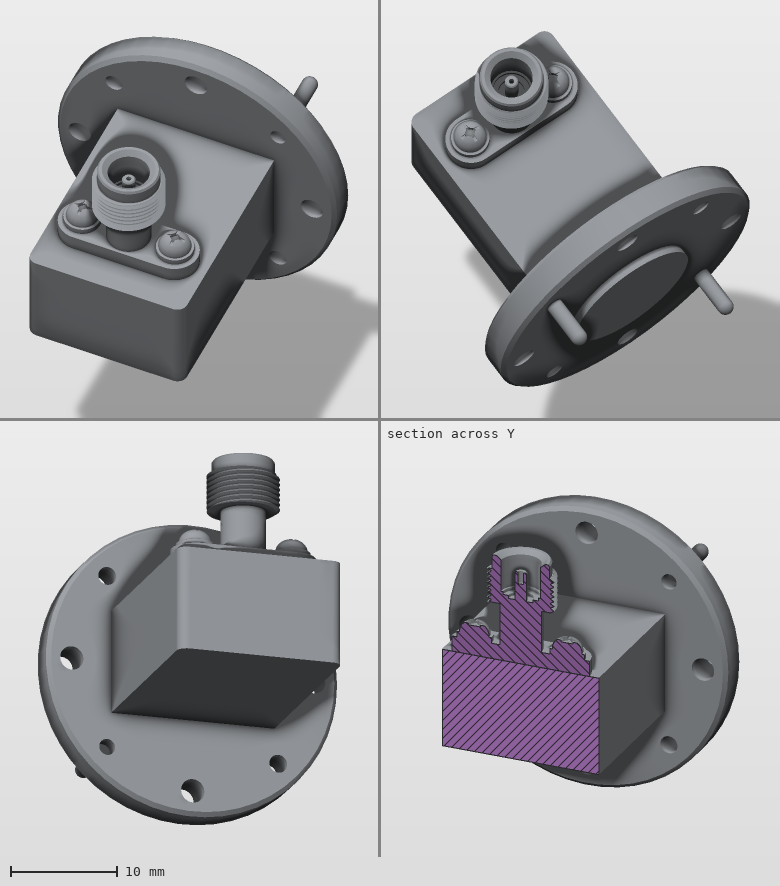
import cadquery as cq
import math


flange_diameter = 28.6
flange_radius = flange_diameter / 2
flange_thickness = 3.33
flange_chamfer = 0.4
boss_radius = 6.35
boss_height = 0.8

bolt_circle_radius = 11.88
bolt_hole_radius = 1.15
bolt_hole_angles = (0, 90, 180, 270)
clearance_hole_radius = 0.87
clearance_hole_angles = (135, 315)

pin_radius = 0.78
pin_angles = (45, 225)
pin_reach = 4.75
pin_insertion = flange_thickness / 2

block_width = 16.02
block_length = 20.95
block_height = 10.0
block_corner_radius = 1.0
block_top = block_height / 2

connector_end_distance = 5.55
connector_y = connector_end_distance - block_length
plate_length = 14.1
plate_width = 4.8
plate_thickness = 1.55
plate_flat_length = 9.03

stem_radius = 2.13
stem_height = 4.2
thread_length = 3.5
collar_radius = 2.97
collar_height = 1.45
collar_chamfer_width = 0.15
collar_chamfer_height = 0.2
plate_top = block_top + plate_thickness
thread_bottom = plate_top + stem_height
collar_bottom = thread_bottom + thread_length
connector_top = collar_bottom + collar_height

thread_turns = 7.1
thread_pitch = thread_length / thread_turns
thread_crest_radius = 3.45
thread_depth = 0.4
thread_root_radius = thread_crest_radius - thread_depth
thread_run_out = thread_pitch
ridge_embedding = 0.03
ridge_base_width = 0.97 * thread_pitch

socket_mouth_radius = 2.52
socket_radius = 1.98
socket_taper_depth = 0.42
socket_depth = 3.6
insulator_recess_radius = 1.77
insulator_recess_depth = 3.9
insulator_bore_radius = 1.23
insulator_bore_depth = 4.2
contact_radius = 0.63
contact_chamfer = 0.12
contact_bore_radius = 0.25
contact_bore_depth = 1.2
contact_recess = 1.3

screw_offset = 4.75
washer_radius = 1.8
washer_height = 0.57
head_radius = 1.53
head_rim_height = 0.15
head_dome_height = 1.23
slot_width = 0.3
slot_length = 2 * head_radius
slot_depth = 0.3
cross_half_diagonal = 0.6
cross_depth = 0.48


def cylinder_z(radius, bottom, top, x=0):
    """Upright cylinder whose axis lies in the plane Y = connector_y."""
    base = cq.Workplane("XY", origin=(x, connector_y, bottom))
    return base.circle(radius).extrude(top - bottom)


def cylinder_y(radius, start, end, x=0, z=0):
    """Cylinder along Y that runs from Y = start to Y = end."""
    base = cq.Workplane("XZ", origin=(x, start, z))
    return base.circle(radius).extrude(start - end)


def on_bolt_circle(angle):
    """X and Z of a point on the bolt circle."""
    radians = math.radians(angle)
    return bolt_circle_radius * math.cos(radians), bolt_circle_radius * math.sin(radians)


def make_housing():
    flange = cylinder_y(flange_radius, 0, flange_thickness)
    flange = flange.faces("<Y or >Y").chamfer(flange_chamfer)
    boss = cylinder_y(boss_radius, flange_thickness, flange_thickness + boss_height)
    block = (
        cq.Workplane("XY", origin=(0, -block_length / 2, 0))
        .box(block_width, block_length, block_height)
        .edges("|Z and <Y")
        .fillet(block_corner_radius)
    )
    housing = flange.union(boss).union(block)
    hole_groups = (
        (bolt_hole_radius, bolt_hole_angles),
        (clearance_hole_radius, clearance_hole_angles),
        (pin_radius, pin_angles),
    )
    for radius, angles in hole_groups:
        for angle in angles:
            x, z = on_bolt_circle(angle)
            housing = housing.cut(cylinder_y(radius, 0, flange_thickness, x, z))
    return housing


def make_pin(angle):
    """Round-ended dowel pin pressed part of the way into its flange hole."""
    x, z = on_bolt_circle(angle)
    start = flange_thickness - pin_insertion
    straight_end = flange_thickness + pin_reach - pin_radius
    outline = (
        cq.Workplane("XY", origin=(x, 0, z))
        .moveTo(0, start)
        .lineTo(pin_radius, start)
        .lineTo(pin_radius, straight_end)
        .radiusArc((0, straight_end + pin_radius), -pin_radius)
        .close()
    )
    return outline.revolve(360, (0, 0, 0), (0, 1, 0))


def make_plate():
    """Flat-sided mounting plate with round ends."""
    flat_x = plate_flat_length / 2
    side_y = plate_width / 2
    end_x = plate_length / 2
    return (
        cq.Workplane("XY", origin=(0, connector_y, block_top))
        .moveTo(-flat_x, -side_y)
        .lineTo(flat_x, -side_y)
        .threePointArc((end_x, 0), (flat_x, side_y))
        .lineTo(-flat_x, side_y)
        .threePointArc((-end_x, 0), (-flat_x, -side_y))
        .close()
        .extrude(plate_thickness)
    )


def make_thread():
    """Root cylinder with a right-handed V ridge, trimmed flat at both ends."""
    base_radius = thread_root_radius - ridge_embedding
    helix_height = thread_length + 2 * thread_run_out
    helix = cq.Wire.makeHelix(thread_pitch, helix_height, base_radius)
    ridge = (
        cq.Workplane("XZ")
        .moveTo(base_radius, -ridge_base_width / 2)
        .lineTo(thread_crest_radius, 0)
        .lineTo(base_radius, ridge_base_width / 2)
        .close()
        .sweep(cq.Workplane(obj=helix), isFrenet=True)
        .rotate((0, 0, 0), (0, 0, 1), 180)
        .translate((0, connector_y, thread_bottom - thread_run_out))
    )
    overrun = 2 * thread_run_out
    root = cylinder_z(thread_root_radius, thread_bottom - overrun, collar_bottom + overrun)
    trim = cylinder_z(thread_crest_radius + thread_depth, thread_bottom, collar_bottom)
    return root.union(ridge).intersect(trim)


def make_collar():
    """Plain collar with a bevelled top edge."""
    bevel_bottom = collar_height - collar_chamfer_height
    return (
        cq.Workplane("XZ", origin=(0, connector_y, collar_bottom))
        .lineTo(collar_radius, 0)
        .lineTo(collar_radius, bevel_bottom)
        .lineTo(collar_radius - collar_chamfer_width, collar_height)
        .lineTo(0, collar_height)
        .close()
        .revolve(360, (0, 0, 0), (0, 1, 0))
    )


def make_socket():
    """Stepped cavity with a tapered mouth."""
    return (
        cq.Workplane("XZ", origin=(0, connector_y, connector_top))
        .lineTo(socket_mouth_radius, 0)
        .lineTo(socket_radius, -socket_taper_depth)
        .lineTo(socket_radius, -socket_depth)
        .lineTo(insulator_recess_radius, -socket_depth)
        .lineTo(insulator_recess_radius, -insulator_recess_depth)
        .lineTo(insulator_bore_radius, -insulator_recess_depth)
        .lineTo(insulator_bore_radius, -insulator_bore_depth)
        .lineTo(0, -insulator_bore_depth)
        .close()
        .revolve(360, (0, 0, 0), (0, 1, 0))
    )


def make_contact():
    """Bevelled centre contact with a blind bore, standing on the socket floor."""
    top = connector_top - contact_recess
    post = cylinder_z(contact_radius, connector_top - insulator_bore_depth, top)
    post = post.faces(">Z").chamfer(contact_chamfer)
    return post.cut(cylinder_z(contact_bore_radius, top - contact_bore_depth, top))


def make_screw(x):
    """Washer and domed screw head with a cross recess that is deeper at its centre."""
    washer_top = plate_top + washer_height
    rim_top = washer_top + head_rim_height
    head_top = rim_top + head_dome_height
    washer = cylinder_z(washer_radius, plate_top, washer_top, x)
    head = (
        cq.Workplane("XZ", origin=(x, connector_y, washer_top))
        .lineTo(head_radius, 0)
        .lineTo(head_radius, head_rim_height)
        .ellipseArc(head_radius, head_dome_height, 0, 90, startAtCurrent=True)
        .lineTo(0, 0)
        .close()
        .revolve(360, (0, 0, 0), (0, 1, 0))
    )
    recess_plane = cq.Workplane("XY", origin=(x, connector_y, head_top))
    for length, width in ((slot_length, slot_width), (slot_width, slot_length)):
        head = head.cut(recess_plane.rect(length, width).extrude(-slot_depth))
    cross_centre = recess_plane.polygon(4, 2 * cross_half_diagonal).extrude(-cross_depth)
    return washer.union(head.cut(cross_centre))


def make_connector():
    stem = cylinder_z(stem_radius, plate_top, thread_bottom)
    connector = make_plate().union(stem).union(make_thread()).union(make_collar())
    connector = connector.cut(make_socket()).union(make_contact())
    for x in (-screw_offset, screw_offset):
        connector = connector.union(make_screw(x))
    return connector


housing = make_housing()
connector = make_connector()
pins = [make_pin(angle) for angle in pin_angles]

result = cq.Compound.makeCompound([
    housing.solids().val(),
    connector.solids().val(),
    *[pin.val() for pin in pins],
])